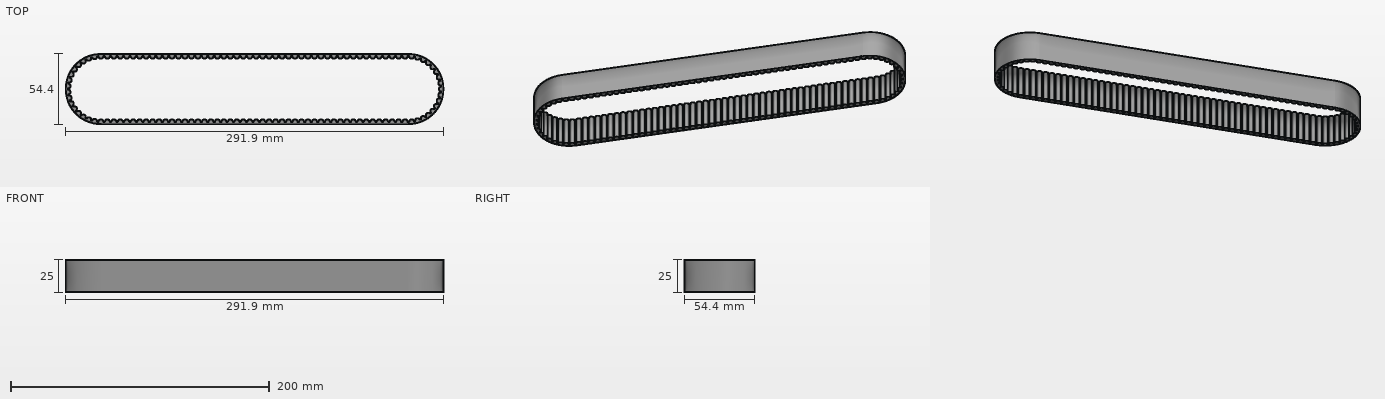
import cadquery as cq
import math

overall_length = 291.9
overall_depth = 54.4
belt_width = 25.0
backing_thickness = 1.8
tooth_pitch = 5.0
tooth_root_width = 4.0
left_bend_teeth = 16
right_bend_teeth = 17
root_overlap = 0.5

outer_radius = overall_depth / 2
land_radius = outer_radius - backing_thickness
center_distance = overall_length - overall_depth
bend_x = center_distance / 2
bend_step = math.degrees(tooth_pitch / outer_radius)
straight_teeth = math.floor(center_distance / tooth_pitch) + 1

bend_root_width = tooth_root_width * land_radius / outer_radius
bend_root_y = math.sqrt(land_radius**2 - (bend_root_width / 2) ** 2)


def make_backing():
    """Plain racetrack loop, without teeth."""
    outer = cq.Workplane("XY").slot2D(overall_length, overall_depth).extrude(belt_width)
    inner = cq.Workplane("XY").slot2D(center_distance + 2 * land_radius, 2 * land_radius)
    return outer.cut(inner.extrude(belt_width))


def make_tooth(root_width, root_y):
    """Half-round tooth centred on X = 0, pointing to -Y from its root line at root_y."""
    half_width = root_width / 2
    return (
        cq.Workplane("XY")
        .moveTo(-half_width, root_y + root_overlap)
        .lineTo(-half_width, root_y)
        .threePointArc((0, root_y - half_width), (half_width, root_y))
        .lineTo(half_width, root_y + root_overlap)
        .close()
        .extrude(belt_width)
    )


def turned(tooth, angle):
    """The tooth rotated about the Z axis."""
    return tooth.rotate((0, 0, 0), (0, 0, 1), angle)


def straight_run_teeth():
    """Teeth of both straight runs, counted from the start of the left bend."""
    upper_tooth = make_tooth(tooth_root_width, land_radius)
    lower_tooth = turned(upper_tooth, 180)
    teeth = []
    for i in range(straight_teeth):
        x = -bend_x + i * tooth_pitch
        teeth.append(upper_tooth.translate((x, 0, 0)))
        teeth.append(lower_tooth.translate((x, 0, 0)))
    return teeth


def bend_teeth(center_x, middle_angle, count):
    """Teeth of one bend, spread evenly to both sides of its middle."""
    tooth = make_tooth(bend_root_width, bend_root_y)
    first_angle = middle_angle - (count - 1) / 2 * bend_step
    return [
        turned(tooth, first_angle + i * bend_step).translate((center_x, 0, 0))
        for i in range(count)
    ]


teeth = straight_run_teeth()
teeth += bend_teeth(-bend_x, 90, left_bend_teeth)
teeth += bend_teeth(bend_x, -90, right_bend_teeth)
tooth_solids = [tooth.val() for tooth in teeth]
belt = make_backing().val().fuse(*tooth_solids).clean()
result = cq.Workplane("XY").newObject([belt])